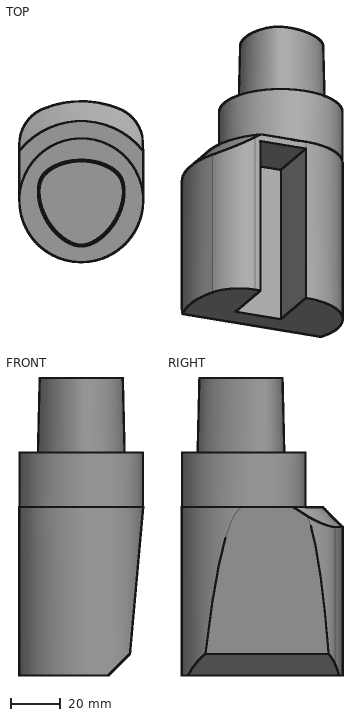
import cadquery as cq
import math

total_height = 120.0
shank_length = 30.0
collar_bottom = 67.9
collar_top = total_height - shank_length

collar_diameter = 49.9
body_width = 50.0
body_radius = body_width / 2
back_radius = 40.0
side_flat_end = 22.5
back_chamfer = 8.0

taper_bottom_x = 19.7
bottom_chamfer = 8.8

pocket_width = 19.9
pocket_top = 64.9

shank_base_radius = 17.5
shank_top_radius = 16.8
lobe_height = 1.14
points_per_profile = 48


def make_body():
    """D-shaped column: round front, flat sides and a rounded back with a conical chamfer."""
    corner_radius = (back_radius**2 - body_radius**2 - side_flat_end**2) / (2 * (back_radius - body_radius))
    corner_x = body_radius - corner_radius
    tangent_angle = math.atan2(side_flat_end, corner_x)
    tangent_x = back_radius * math.cos(tangent_angle)
    tangent_y = back_radius * math.sin(tangent_angle)
    half_angle = tangent_angle / 2
    middle_x = corner_x + corner_radius * math.cos(half_angle)
    middle_y = side_flat_end + corner_radius * math.sin(half_angle)

    column = (
        cq.Workplane("XY")
        .moveTo(-body_radius, 0)
        .threePointArc((0, -body_radius), (body_radius, 0))
        .lineTo(body_radius, side_flat_end)
        .threePointArc((middle_x, middle_y), (tangent_x, tangent_y))
        .threePointArc((0, back_radius), (-tangent_x, tangent_y))
        .threePointArc((-middle_x, middle_y), (-body_radius, side_flat_end))
        .close()
        .extrude(collar_bottom)
    )
    chamfered_envelope = (
        cq.Workplane("XY")
        .circle(back_radius)
        .extrude(collar_bottom)
        .faces(">Z")
        .chamfer(back_chamfer)
    )
    return column.intersect(chamfered_envelope)


def make_side_cut():
    """Wedge that leaves the tapered +X side and its bottom chamfer."""
    cut_length = 4 * back_radius
    outside_x = 2 * body_radius
    return (
        cq.Workplane("XZ")
        .moveTo(taper_bottom_x - bottom_chamfer, 0)
        .lineTo(taper_bottom_x, bottom_chamfer)
        .lineTo(body_radius, collar_bottom)
        .lineTo(outside_x, collar_bottom)
        .lineTo(outside_x, 0)
        .close()
        .extrude(cut_length / 2, both=True)
    )


def make_pocket():
    """Pocket open to the -X side and to the bottom."""
    return cq.Workplane("XY").box(
        body_radius, pocket_width, pocket_top, centered=False
    ).translate((-body_radius, 0, 0))


def lobed_profile(mean_radius):
    """Constant-width outline with three lobes, one of them toward -Y."""
    points = []
    for index in range(points_per_profile):
        angle = 2 * math.pi * index / points_per_profile
        reach = mean_radius + lobe_height * math.sin(3 * angle)
        slope = 3 * lobe_height * math.cos(3 * angle)
        x = reach * math.cos(angle) - slope * math.sin(angle)
        y = reach * math.sin(angle) + slope * math.cos(angle)
        points.append((x, y))
    return points


def make_shank():
    return (
        cq.Workplane("XY", origin=(0, 0, collar_top))
        .spline(lobed_profile(shank_base_radius), periodic=True)
        .close()
        .workplane(offset=shank_length)
        .spline(lobed_profile(shank_top_radius), periodic=True)
        .close()
        .loft(ruled=True)
    )


collar = (
    cq.Workplane("XY", origin=(0, 0, collar_bottom))
    .circle(collar_diameter / 2)
    .extrude(collar_top - collar_bottom)
)
body = make_body().cut(make_side_cut()).cut(make_pocket())
result = body.union(collar).union(make_shank())